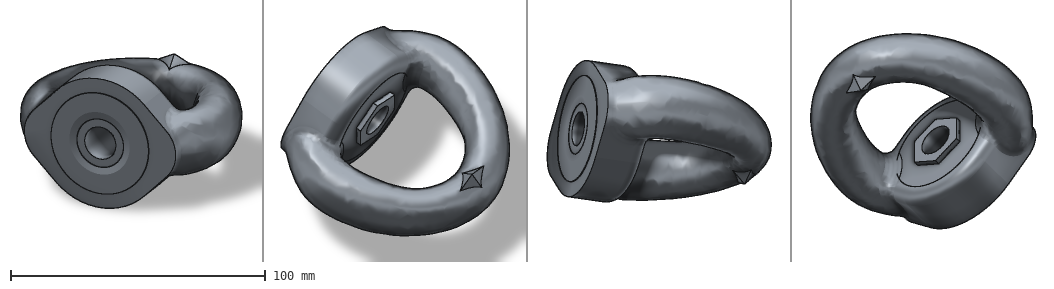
import cadquery as cq
import math

PLATE_RADIUS = 27.0
PLATE_HALF_WIDTH = 32.65
PLATE_THICKNESS = 20.0
PLATE_BACK_FILLET = 5.0
SIDE_ANGLE = math.radians(45)
NECK_FILLET = 5.0
ZONE_MARGIN = 0.9

CROWN_Y = 79.4
CROWN_INNER_Y = 61.4
CROWN_HALF_HEIGHT = 9.8
LEG_SECTIONS = [
    ((15.4, 75.6), (7.55, 59.6), 10.1),
    ((27.8, 66.0), (14.8, 54.2), 10.8),
    ((37.3, 52.65), (19.2, 46.5), 11.7),
    ((42.65, 37.7), (22.5, 36.0), 12.4),
    ((43.9, 26.8), (23.35, 27.65), 12.6),
    ((40.4, 13.2), (21.9, 19.75), 12.8),
    ((32.65, 0.5), (17.55, 10.1), 9.65),
]

MARK_HALF_LENGTH = 13.2
MARK_HALF_WIDTH = 6.1
MARK_BASE_Z = 7.0
MARK_TIP_Z = 13.1
MARK_TIP_RATIO = 0.03
MARK_Y = (CROWN_Y + CROWN_INNER_Y) / 2

BUSH_DIAMETER = 42.0
BUSH_BORE_DIAMETER = 20.2
BUSH_STANDOUT = 0.3
BUSH_SINK_DIAMETER = 26.0
BUSH_SINK_DEPTH = 0.4
HOUSING_BORE_DIAMETER = 42.2

SHANK_DIAMETER = 20.0
SCREW_HOLE_DIAMETER = 13.4
SHANK_FRONT_Y = 0.3
HEX_SIDES = 6
HEX_ACROSS_FLATS = 20.8
HEX_HEIGHT = 2.2


def disc(diameter, y_start, y_end):
    """Cylinder on the Y axis between two Y values."""
    plane = cq.Workplane(cq.Plane((0, y_start, 0), (1, 0, 0), (0, 1, 0)))
    return plane.circle(diameter / 2).extrude(y_end - y_start)


def make_plate():
    """Round plate drawn out to two rounded corners, with a filleted back edge."""
    sine = math.sin(SIDE_ANGLE)
    cosine = math.cos(SIDE_ANGLE)
    apex_x = PLATE_RADIUS / cosine
    corner_radius = (apex_x - PLATE_HALF_WIDTH) * cosine / (1 - cosine)
    corner_x = PLATE_HALF_WIDTH - corner_radius
    rim = (PLATE_RADIUS * cosine, PLATE_RADIUS * sine)
    corner = (corner_x + corner_radius * cosine, corner_radius * sine)
    outline = (
        cq.Workplane("XZ")
        .moveTo(-rim[0], rim[1])
        .threePointArc((0, PLATE_RADIUS), rim)
        .lineTo(*corner)
        .threePointArc((PLATE_HALF_WIDTH, 0), (corner[0], -corner[1]))
        .lineTo(rim[0], -rim[1])
        .threePointArc((0, -PLATE_RADIUS), (-rim[0], -rim[1]))
        .lineTo(-corner[0], -corner[1])
        .threePointArc((-PLATE_HALF_WIDTH, 0), (-corner[0], corner[1]))
        .close()
    )
    return outline.extrude(-PLATE_THICKNESS).faces(">Y").edges().fillet(PLATE_BACK_FILLET)


def loop_section(outer, inner, half_height):
    """Elliptical wire spanning two points of the XY plane."""
    across = cq.Vector(inner[0] - outer[0], inner[1] - outer[1], 0)
    middle = cq.Vector((inner[0] + outer[0]) / 2, (inner[1] + outer[1]) / 2, 0)
    normal = across.cross(cq.Vector(0, 0, 1))
    plane = cq.Plane(middle, across, normal)
    return cq.Workplane(plane).ellipse(across.Length / 2, half_height).wires().val()


def make_loop():
    """Arch from one foot, through the crown, to the other foot."""
    crown = ((0, CROWN_Y), (0, CROWN_INNER_Y), CROWN_HALF_HEIGHT)
    mirrored = [
        ((-outer[0], outer[1]), (-inner[0], inner[1]), half_height)
        for outer, inner, half_height in LEG_SECTIONS
    ]
    sections = mirrored[::-1] + [crown] + LEG_SECTIONS
    wires = [loop_section(*section) for section in sections]
    return cq.Workplane(cq.Solid.makeLoft(wires))


def make_mark():
    """Four-sided pyramid pointing along +Z at the crown."""
    corners = [
        (MARK_HALF_LENGTH, 0),
        (0, MARK_HALF_WIDTH),
        (-MARK_HALF_LENGTH, 0),
        (0, -MARK_HALF_WIDTH),
    ]
    tip = [(x * MARK_TIP_RATIO, y * MARK_TIP_RATIO) for x, y in corners]
    base = cq.Workplane("XY", origin=(0, MARK_Y, MARK_BASE_Z)).polyline(corners).close()
    return base.workplane(offset=MARK_TIP_Z - MARK_BASE_Z).polyline(tip).close().loft(ruled=True)


def make_housing():
    """Plate, loop and wear marks in one solid, bored for the bush."""
    body = make_plate().union(make_loop())
    plate_zone = cq.selectors.BoxSelector(
        (-PLATE_HALF_WIDTH, -ZONE_MARGIN, -PLATE_RADIUS),
        (PLATE_HALF_WIDTH, PLATE_THICKNESS + ZONE_MARGIN, PLATE_RADIUS),
    )
    body = body.edges("%BSPLINE").edges(plate_zone).fillet(NECK_FILLET)
    mark = make_mark()
    body = body.union(mark).union(mark.mirror("XY"))
    return body.cut(disc(HOUSING_BORE_DIAMETER, 0, PLATE_THICKNESS))


def make_bush():
    """Bush filling the housing bore, with a shallow conical sink at the front."""
    front = -BUSH_STANDOUT
    sink = cq.Workplane(
        cq.Solid.makeCone(
            BUSH_SINK_DIAMETER / 2,
            BUSH_BORE_DIAMETER / 2,
            BUSH_SINK_DEPTH,
            cq.Vector(0, front, 0),
            cq.Vector(0, 1, 0),
        )
    )
    bush = disc(BUSH_DIAMETER, front, PLATE_THICKNESS)
    return bush.cut(disc(BUSH_BORE_DIAMETER, front, PLATE_THICKNESS)).cut(sink)


def make_screw():
    """Hollow shank inside the bush with a hex head on the back of the plate."""
    shank = disc(SHANK_DIAMETER, SHANK_FRONT_Y, PLATE_THICKNESS)
    across_corners = HEX_ACROSS_FLATS / math.cos(math.pi / HEX_SIDES)
    hex_plane = cq.Plane((0, PLATE_THICKNESS, 0), (0, 0, 1), (0, 1, 0))
    head = cq.Workplane(hex_plane).polygon(HEX_SIDES, across_corners).extrude(HEX_HEIGHT)
    hole = disc(SCREW_HOLE_DIAMETER, SHANK_FRONT_Y, PLATE_THICKNESS + HEX_HEIGHT)
    return shank.union(head).cut(hole)


housing = make_housing()
bush = make_bush()
screw = make_screw()

result = cq.Compound.makeCompound([body.solids().val() for body in (housing, bush, screw)])